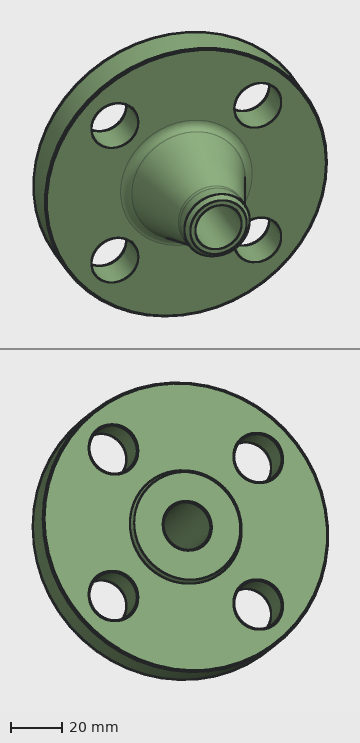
import cadquery as cq
import math

total_length = 59.0
flange_diameter = 115.0
flange_front = 2.1
flange_back = 18.0
flange_edge_chamfer = 0.6

face_tip_radius = 21.4
face_base_radius = 22.5

pipe_diameter = 26.7
pipe_end_chamfer = 1.8
pipe_start = 50.8
neck_angle = 18.0
neck_root_fillet = 3.9
neck_tip_fillet = 4.6

bore_diameter = 18.9
bolt_hole_diameter = 19.1
bolt_circle_diameter = 82.5
bolt_count = 4
hole_edge_chamfer = 0.5

flange_radius = flange_diameter / 2
pipe_radius = pipe_diameter / 2
neck_length = pipe_start - flange_back
neck_root_radius = pipe_radius + neck_length * math.tan(math.radians(neck_angle))


def make_disc():
    """Flange disc with both outer edges chamfered."""
    disc = cq.Workplane("YZ").workplane(offset=flange_front)
    disc = disc.circle(flange_radius).extrude(flange_back - flange_front)
    return disc.edges().chamfer(flange_edge_chamfer)


def make_hub():
    """Raised face, tapered neck and pipe stub revolved as one profile."""
    profile = [
        (0, 0),
        (0, face_tip_radius),
        (flange_front, face_base_radius),
        (flange_back, face_base_radius),
        (flange_back, neck_root_radius),
        (pipe_start, pipe_radius),
        (total_length - pipe_end_chamfer, pipe_radius),
        (total_length, pipe_radius - pipe_end_chamfer),
        (total_length, 0),
    ]
    return cq.Workplane("XY").polyline(profile).close().revolve(360, (0, 0, 0), (1, 0, 0))


def circle_at(x, radius):
    """Select the circular edge of the given radius lying at position x."""
    margin = 0.1
    return cq.selectors.BoxSelector(
        (x - margin, -radius - margin, -radius - margin),
        (x + margin, radius + margin, radius + margin),
        boundingbox=True,
    )


def make_hole(diameter, start, stop):
    """Through cutter along X from start to stop, flared at its front edge."""
    radius = diameter / 2
    profile = [
        (start, 0),
        (start, radius + hole_edge_chamfer),
        (start + hole_edge_chamfer, radius),
        (stop, radius),
        (stop, 0),
    ]
    return cq.Workplane("XY").polyline(profile).close().revolve(360, (0, 0, 0), (1, 0, 0))


body = make_disc().union(make_hub())
body = body.edges(circle_at(flange_back, neck_root_radius)).fillet(neck_root_fillet)
body = body.edges(circle_at(pipe_start, pipe_radius)).fillet(neck_tip_fillet)

body = body.cut(make_hole(bore_diameter, 0, total_length))
bolt_hole = make_hole(bolt_hole_diameter, flange_front, flange_back)
bolt_hole = bolt_hole.translate((0, bolt_circle_diameter / 2, 0))
bolt_pitch = 360 / bolt_count
for index in range(bolt_count):
    angle = (index + 0.5) * bolt_pitch
    body = body.cut(bolt_hole.rotate((0, 0, 0), (1, 0, 0), angle))

result = body